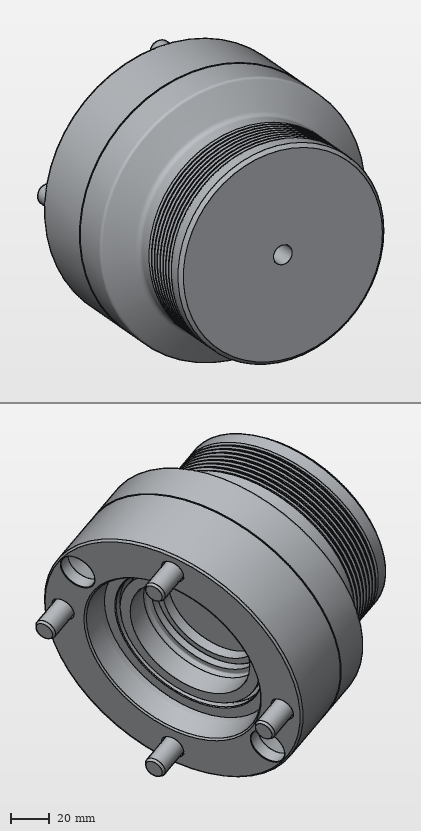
import cadquery as cq
import math


outer_radius = 78.5
flange_length = 38.2
flange_front_chamfer = 1.1
joint_chamfer = 0.3
taper_mouth_radius = 52.9
taper_mouth_chamfer = 1.0
taper_end_radius = 51.3
taper_end_x = 12.9
socket_floor_x = 16.0
flange_bore_radius = 44.6
flange_bore_chamfer = 0.5
flange_lip_end_x = 20.1
flange_relief_radius = 45.2

housing_end_x = 112.3
shoulder_x = 60.1
shoulder_angle = 60.0
neck_radius = 60.9
shoulder_rounding = 2.0
neck_fillet = 4.0
housing_end_chamfer = 2.0
thread_start_x = 79.8
thread_count = 8
thread_pitch = 3.0
thread_groove_width = 2.4
thread_root_width = 0.8
thread_depth = 1.1
center_hole_radius = 5.5

sleeve_radius = 42.4
sleeve_front_x = 17.0
sleeve_end_x = 55.0
sleeve_bore_radius = 36.3
sleeve_groove_radius = 37.5
sleeve_groove_fillet = 1.1
sleeve_groove_start_x = 30.0
sleeve_groove_end_x = 34.0

plug_radius = 33.9
plug_chamfer = 0.5
plug_front_x = 38.0
plug_recess_radius = 29.8
plug_recess_floor_x = 44.0

pin_count = 4
pin_radius = 6.0
pin_tip_radius = 5.0
pin_tip_length = 1.4
pin_front_x = -18.2
pin_end_x = 51.8
pin_clearance_radius = 6.8
bolt_circle_radius = 66.5

pocket_radius = 10.2
pocket_depth = 7.0
pocket_chamfer = 0.3
pocket_point_angle = 118.0
pocket_angles = (30.0, 210.0)


def revolve_about_x(sketch):
    """Turn a closed X-radius profile about the part axis."""
    return sketch.close().revolve(360, (0, 0, 0), (1, 0, 0))


def rod(radius, start_x, end_x, y=0.0, z=0.0):
    """Cylinder along X from start_x to end_x."""
    return cq.Workplane("YZ", origin=(start_x, y, z)).circle(radius).extrude(end_x - start_x)


def bolt_circle_point(angle):
    """Y and Z on the bolt circle, with the angle measured from +Y towards +Z."""
    turn = math.radians(angle)
    return bolt_circle_radius * math.cos(turn), bolt_circle_radius * math.sin(turn)


pin_points = [bolt_circle_point(i * 360.0 / pin_count) for i in range(pin_count)]


def make_pocket(y, z):
    """Drill hole with a chamfered mouth and a conical point."""
    point_depth = pocket_radius / math.tan(math.radians(pocket_point_angle / 2))
    profile = (
        cq.Workplane("XY")
        .lineTo(0, pocket_radius + pocket_chamfer)
        .lineTo(pocket_chamfer, pocket_radius)
        .lineTo(pocket_depth, pocket_radius)
        .lineTo(pocket_depth + point_depth, 0)
    )
    return revolve_about_x(profile).translate((0, y, z))


def make_flange():
    body = revolve_about_x(
        cq.Workplane("XY")
        .moveTo(0, taper_mouth_radius + taper_mouth_chamfer)
        .lineTo(0, outer_radius - flange_front_chamfer)
        .lineTo(flange_front_chamfer, outer_radius)
        .lineTo(flange_length - joint_chamfer, outer_radius)
        .lineTo(flange_length, outer_radius - joint_chamfer)
        .lineTo(flange_length, flange_relief_radius)
        .lineTo(flange_lip_end_x, flange_relief_radius)
        .lineTo(flange_lip_end_x, flange_bore_radius)
        .lineTo(socket_floor_x + flange_bore_chamfer, flange_bore_radius)
        .lineTo(socket_floor_x, flange_bore_radius + flange_bore_chamfer)
        .lineTo(socket_floor_x, taper_end_radius)
        .lineTo(taper_end_x, taper_end_radius)
        .lineTo(taper_mouth_chamfer, taper_mouth_radius)
    )
    for y, z in pin_points:
        body = body.cut(rod(pin_clearance_radius, 0, flange_length, y, z))
    for angle in pocket_angles:
        body = body.cut(make_pocket(*bolt_circle_point(angle)))
    return body


def housing_profile():
    """Solid outline: rim, sloped shoulder with rounded corners, grooved neck."""
    slope = math.radians(shoulder_angle)
    neck_x = shoulder_x + (outer_radius - neck_radius) / math.tan(slope)
    round_reach = shoulder_rounding * math.tan(slope / 2)
    fillet_reach = neck_fillet * math.tan(slope / 2)

    def on_slope(x, radius, distance):
        return x + distance * math.cos(slope), radius - distance * math.sin(slope)

    flank_length = (thread_groove_width - thread_root_width) / 2
    profile = (
        cq.Workplane("XY")
        .moveTo(flange_length, 0)
        .lineTo(flange_length, outer_radius - joint_chamfer)
        .lineTo(flange_length + joint_chamfer, outer_radius)
        .lineTo(shoulder_x - round_reach, outer_radius)
        .radiusArc(on_slope(shoulder_x, outer_radius, round_reach), shoulder_rounding)
        .lineTo(*on_slope(neck_x, neck_radius, -fillet_reach))
        .radiusArc((neck_x + fillet_reach, neck_radius), -neck_fillet)
    )
    for i in range(thread_count):
        groove_x = thread_start_x + i * thread_pitch
        profile = (
            profile.lineTo(groove_x, neck_radius)
            .lineTo(groove_x + flank_length, neck_radius - thread_depth)
            .lineTo(groove_x + flank_length + thread_root_width, neck_radius - thread_depth)
            .lineTo(groove_x + thread_groove_width, neck_radius)
        )
    return (
        profile.lineTo(housing_end_x - housing_end_chamfer, neck_radius)
        .lineTo(housing_end_x, neck_radius - housing_end_chamfer)
        .lineTo(housing_end_x, 0)
    )


def make_housing():
    body = revolve_about_x(housing_profile())
    body = body.cut(rod(sleeve_radius, flange_length, sleeve_end_x))
    body = body.cut(rod(center_hole_radius, sleeve_end_x, housing_end_x))
    for y, z in pin_points:
        body = body.cut(rod(pin_radius, flange_length, pin_end_x, y, z))
    return body


def make_sleeve():
    return revolve_about_x(
        cq.Workplane("XY")
        .moveTo(sleeve_front_x, sleeve_bore_radius)
        .lineTo(sleeve_front_x, sleeve_radius)
        .lineTo(sleeve_end_x, sleeve_radius)
        .lineTo(sleeve_end_x, plug_radius)
        .lineTo(sleeve_groove_end_x, plug_radius)
        .lineTo(sleeve_groove_end_x, sleeve_groove_radius - sleeve_groove_fillet)
        .radiusArc(
            (sleeve_groove_end_x - sleeve_groove_fillet, sleeve_groove_radius),
            -sleeve_groove_fillet,
        )
        .lineTo(sleeve_groove_start_x, sleeve_groove_radius)
        .lineTo(sleeve_groove_start_x, sleeve_bore_radius)
    )


def make_plug():
    return revolve_about_x(
        cq.Workplane("XY")
        .moveTo(plug_front_x, plug_recess_radius)
        .lineTo(plug_front_x, plug_radius - plug_chamfer)
        .lineTo(plug_front_x + plug_chamfer, plug_radius)
        .lineTo(sleeve_end_x, plug_radius)
        .lineTo(sleeve_end_x, center_hole_radius)
        .lineTo(plug_recess_floor_x, center_hole_radius)
        .lineTo(plug_recess_floor_x, plug_recess_radius)
    )


def make_pin(y, z):
    pin = revolve_about_x(
        cq.Workplane("XY")
        .moveTo(pin_front_x, 0)
        .lineTo(pin_front_x, pin_tip_radius)
        .lineTo(pin_front_x + pin_tip_length, pin_radius)
        .lineTo(pin_end_x, pin_radius)
        .lineTo(pin_end_x, 0)
    )
    return pin.translate((0, y, z))


flange = make_flange()
housing = make_housing()
sleeve = make_sleeve()
plug = make_plug()
pins = [make_pin(y, z) for y, z in pin_points]

result = cq.Compound.makeCompound(
    [flange.val(), housing.val(), sleeve.val(), plug.val(), *[pin.val() for pin in pins]]
)